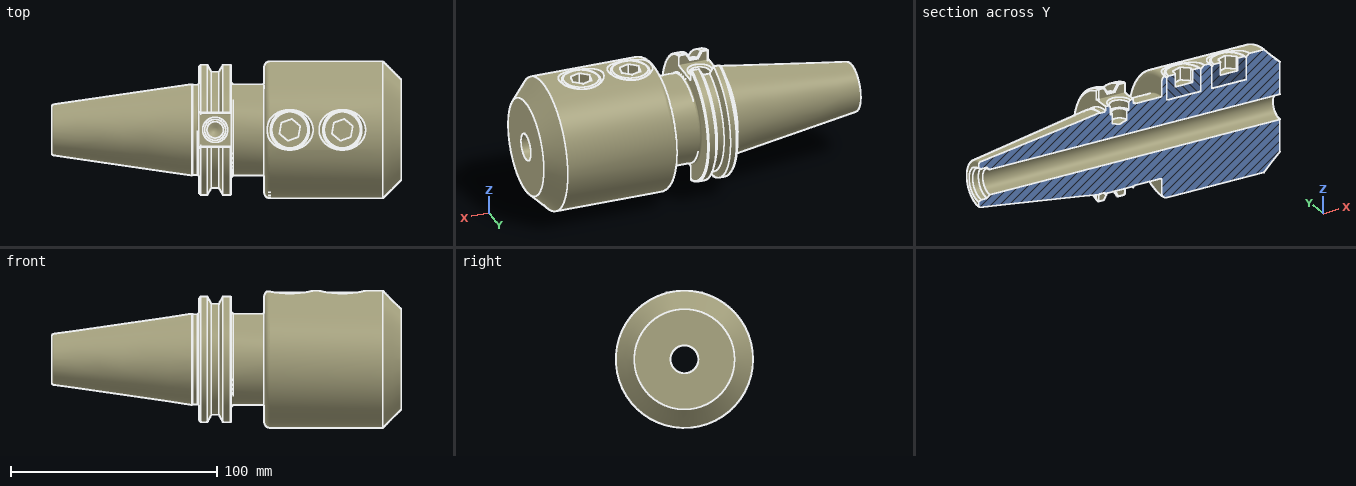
import cadquery as cq
import math


total_length = 169.8
gauge_x = 68.1
gauge_diameter = 44.5
taper_ratio = 7 / 24
shank_end_round = 1.4
relief_diameter = 44.0
relief_slope = 0.5
relief_round = 0.7

flange_x = 71.5
flange_width = 15.8
flange_diameter = 63.5
flange_front_chamfer = 1.0
flange_back_chamfer = 0.5
v_groove_diameter = 56.5
v_groove_floor = 3.5
v_groove_flank_angle = 30.0

neck_diameter = gauge_diameter
neck_flange_round = 1.0
neck_head_round = 0.5
head_x = 103.1
head_diameter = 66.8
head_round = 3.0
head_chamfer = 9.0

passage_diameter = 13.5
counterbore_diameter = 16.5
counterbore_mouth_diameter = 18.0
mouth_depth = 1.5
counterbore_depth = 4.8

slot_width = 16.0
slot_front_chamfer = 1.0
slot_edge_chamfer = 0.5
slot_floor_round = 0.5
top_slot_floor = 24.8
bottom_slot_floor = 22.6

pin_hole_diameter = 10.2
pin_hole_mouth_diameter = 12.2
pin_hole_depth = 5.1
pin_drill_diameter = 8.0
pin_drill_depth = 10.2
pin_drill_angle = 140.0

screw_x = 115.7
screw_pitch = 25.5
screw_count = 2
screw_diameter = 19.0
screw_top = 32.5
screw_length = 12.7
screw_chamfer = 0.76
socket_across_flats = 9.3
socket_depth = 6.8
socket_turn = 20.0
screw_mouth_base = 31.6

TOLERANCE = 0.0002

gauge_radius = gauge_diameter / 2
shank_end_radius = gauge_radius - gauge_x * taper_ratio / 2
relief_radius = relief_diameter / 2
flange_radius = flange_diameter / 2
flange_end_x = flange_x + flange_width
flange_middle_x = flange_x + flange_width / 2
v_groove_radius = v_groove_diameter / 2
v_floor_half = v_groove_floor / 2
v_mouth_half = v_floor_half + (flange_radius - v_groove_radius) * math.tan(math.radians(v_groove_flank_angle))
neck_radius = neck_diameter / 2
head_radius = head_diameter / 2
screw_radius = screw_diameter / 2
screw_positions = [screw_x + i * screw_pitch for i in range(screw_count)]


def turned_blank():
    """Solid of revolution carrying shank, flange, neck and head."""
    taper_angle = math.atan(taper_ratio / 2)
    round_end_x = shank_end_round * (1 - math.sin(taper_angle))
    round_end_radius = shank_end_radius + round_end_x * taper_ratio / 2
    round_start_radius = round_end_radius - shank_end_round * math.cos(taper_angle)
    profile = (
        cq.Workplane("XY")
        .lineTo(0, round_start_radius)
        .radiusArc((round_end_x, round_end_radius), shank_end_round)
        .lineTo(gauge_x, gauge_radius)
        .lineTo(gauge_x + relief_slope, relief_radius)
        .lineTo(flange_x - relief_round, relief_radius)
        .radiusArc((flange_x, relief_radius + relief_round), -relief_round)
        .lineTo(flange_x, flange_radius - flange_front_chamfer)
        .lineTo(flange_x + flange_front_chamfer, flange_radius)
        .lineTo(flange_middle_x - v_mouth_half, flange_radius)
        .lineTo(flange_middle_x - v_floor_half, v_groove_radius)
        .lineTo(flange_middle_x + v_floor_half, v_groove_radius)
        .lineTo(flange_middle_x + v_mouth_half, flange_radius)
        .lineTo(flange_end_x - flange_back_chamfer, flange_radius)
        .lineTo(flange_end_x, flange_radius - flange_back_chamfer)
        .lineTo(flange_end_x, neck_radius + neck_flange_round)
        .radiusArc((flange_end_x + neck_flange_round, neck_radius), -neck_flange_round)
        .lineTo(head_x - neck_head_round, neck_radius)
        .radiusArc((head_x, neck_radius + neck_head_round), -neck_head_round)
        .lineTo(head_x, head_radius - head_round)
        .radiusArc((head_x + head_round, head_radius), head_round)
        .lineTo(total_length - head_chamfer, head_radius)
        .lineTo(total_length, head_radius - head_chamfer)
        .lineTo(total_length, 0)
        .close()
    )
    return profile.revolve(360, (0, 0, 0), (1, 0, 0))


def axial_passage():
    """Through hole with a stepped, slightly flared counterbore at the small end."""
    passage_radius = passage_diameter / 2
    counterbore_radius = counterbore_diameter / 2
    step_end_x = counterbore_depth + counterbore_radius - passage_radius
    profile = (
        cq.Workplane("XY")
        .lineTo(0, counterbore_mouth_diameter / 2)
        .lineTo(mouth_depth, counterbore_radius)
        .lineTo(counterbore_depth, counterbore_radius)
        .lineTo(step_end_x, passage_radius)
        .lineTo(total_length, passage_radius)
        .lineTo(total_length, 0)
        .close()
    )
    return profile.revolve(360, (0, 0, 0), (1, 0, 0))


def drive_slot(floor):
    """Cutter for a slot across the top of the flange, with rounded floor corners."""
    height = head_radius - floor
    return (
        cq.Workplane("XY", origin=(flange_middle_x, 0, floor))
        .box(flange_width, slot_width, height, centered=(True, True, False))
        .edges("|X and <Z")
        .fillet(slot_floor_round)
    )


def slot_front_flare(floor):
    """Cutter that chamfers the upright corners of a slot at the shank-side face of the flange."""
    half = slot_width / 2
    flared_half = half + slot_front_chamfer
    flare_end_x = flange_x + slot_front_chamfer
    return (
        cq.Workplane("XY", origin=(0, 0, floor))
        .moveTo(flange_x, -flared_half)
        .lineTo(flare_end_x, -half)
        .lineTo(flare_end_x, half)
        .lineTo(flange_x, flared_half)
        .close()
        .extrude(head_radius - floor)
    )


def outer_wall_edges(body):
    """Edges of the slot walls along the rim of the flange, without the floor and the end edges."""
    rim_edges = []
    for wall in body.faces("|Y").vals():
        for edge in wall.Edges():
            start, end = edge.startPoint(), edge.endPoint()
            is_end_edge = abs(start.x - end.x) < TOLERANCE
            is_floor_edge = max(abs(start.z), abs(end.z)) < top_slot_floor + slot_floor_round + TOLERANCE
            if not is_end_edge and not is_floor_edge:
                rim_edges.append(edge)
    return rim_edges


def cut_drive_slots(body):
    """Two opposite drive slots of unequal depth, with their edges broken."""
    def opposite(cutter):
        return cutter.rotate((0, 0, 0), (1, 0, 0), 180)

    body = body.cut(drive_slot(top_slot_floor)).cut(opposite(drive_slot(bottom_slot_floor)))
    body = body.newObject(outer_wall_edges(body)).chamfer(slot_edge_chamfer)
    return body.cut(slot_front_flare(top_slot_floor)).cut(opposite(slot_front_flare(bottom_slot_floor)))


def pin_hole():
    """Chamfered blind hole with a ledge and a smaller drilled hole below, in the top slot floor."""
    mouth_radius = pin_hole_mouth_diameter / 2
    hole_radius = pin_hole_diameter / 2
    drill_radius = pin_drill_diameter / 2
    ledge_z = top_slot_floor - pin_hole_depth
    drill_end_z = top_slot_floor - pin_drill_depth
    tip_z = drill_end_z - drill_radius / math.tan(math.radians(pin_drill_angle / 2))
    profile = (
        cq.Workplane("XZ", origin=(flange_middle_x, 0, 0))
        .moveTo(0, tip_z)
        .lineTo(drill_radius, drill_end_z)
        .lineTo(drill_radius, ledge_z)
        .lineTo(hole_radius, ledge_z)
        .lineTo(hole_radius, top_slot_floor - (mouth_radius - hole_radius))
        .lineTo(mouth_radius, top_slot_floor)
        .lineTo(0, top_slot_floor)
        .close()
    )
    return profile.revolve(360, (0, 0, 0), (0, 1, 0))


def screw_hole(x):
    """Blind hole that takes one clamping screw, with a 45 degree mouth."""
    bottom = screw_top - screw_length
    rise = head_radius - screw_mouth_base
    profile = (
        cq.Workplane("XZ", origin=(x, 0, 0))
        .moveTo(0, bottom)
        .lineTo(screw_radius, bottom)
        .lineTo(screw_radius, screw_mouth_base)
        .lineTo(screw_radius + rise, head_radius)
        .lineTo(0, head_radius)
        .close()
    )
    return profile.revolve(360, (0, 0, 0), (0, 1, 0))


def make_holder():
    """Complete tool holder, without the screws."""
    holder = cut_drive_slots(turned_blank()).cut(axial_passage()).cut(pin_hole())
    for x in screw_positions:
        holder = holder.cut(screw_hole(x))
    return holder


def make_screw(x):
    """Headless screw with a hexagon socket in its top face."""
    across_corners = socket_across_flats / math.cos(math.pi / 6)
    body = (
        cq.Workplane("XY", origin=(x, 0, screw_top - screw_length))
        .circle(screw_radius)
        .extrude(screw_length)
        .faces(">Z")
        .chamfer(screw_chamfer)
    )
    socket = (
        cq.Workplane("XY")
        .polygon(6, across_corners)
        .extrude(-socket_depth)
        .rotate((0, 0, 0), (0, 0, 1), socket_turn)
        .translate((x, 0, screw_top))
    )
    return body.cut(socket)


holder = make_holder()
screws = [make_screw(x) for x in screw_positions]

result = cq.Compound.makeCompound([holder.val(), *[screw.val() for screw in screws]])